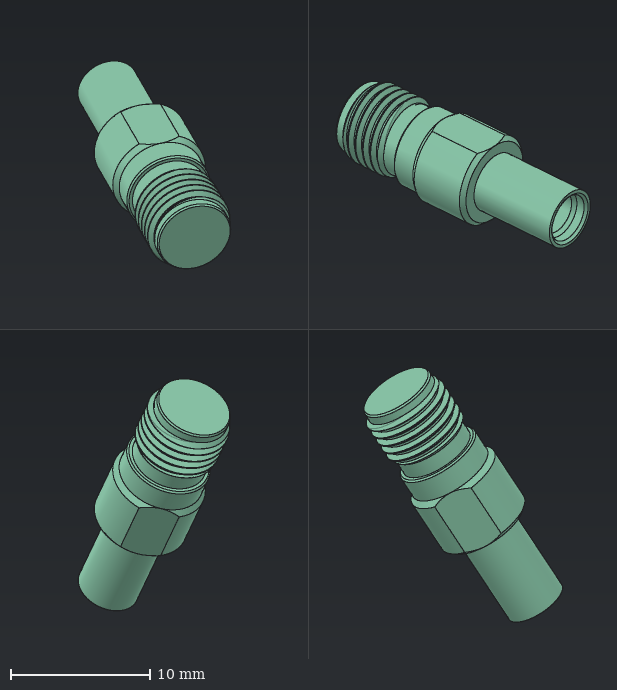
import cadquery as cq
import math


overall_length = 19.81
body_start = 7.12
body_end = 12.14
collar_end = 14.01
thread_start = 15.23
thread_end = 19.09

tube_diameter = 4.57
body_diameter = 7.04
across_flats = 6.35
collar_diameter = 6.34
barrel_diameter = 5.58
body_front_bevel = 0.33
body_rear_bevel = 0.42
collar_chamfer = 0.13
barrel_chamfer_length = 0.15
barrel_chamfer_depth = 0.10

thread_pitch = 25.4 / 36
thread_diameter = 6.34
thread_half_angle = math.radians(30)
crest_width = 0.09
root_overlap = 0.08
first_crest_x = 15.64
lead_in_turns = 2
swept_turns = 8

entry_diameter = 4.02
counterbore_diameter = 3.61
bore_diameter = 3.17
counterbore_depth = 0.88
bore_cone_length = 0.31
bore_depth = body_start

well_diameter = 1.06
well_depth = 1.0
pin_diameter = 0.38


def cylinder(start, end, diameter):
    """Cylinder about the X axis."""
    return cq.Workplane("YZ", origin=(start, 0, 0)).circle(diameter / 2).extrude(end - start)


def revolve_about_x(points):
    """Closed (x, radius) outline turned about the X axis."""
    return cq.Workplane("XY").polyline(points).close().revolve(360, (0, 0, 0), (1, 0, 0))


def make_wrench_body():
    """Bevelled round body with two flats, facing +Z and -Z."""
    end_radius = collar_diameter / 2
    radius = body_diameter / 2
    body = revolve_about_x([
        (body_start, 0),
        (body_start, end_radius),
        (body_start + body_front_bevel, radius),
        (body_end - body_rear_bevel, radius),
        (body_end, end_radius),
        (body_end, 0),
    ])
    flats = cq.Workplane("XY").box(2 * overall_length, body_diameter, across_flats)
    return body.intersect(flats)


def make_barrel():
    """Plain round barrel with a small chamfer at its free end."""
    radius = barrel_diameter / 2
    return revolve_about_x([
        (collar_end, 0),
        (collar_end, radius),
        (overall_length - barrel_chamfer_length, radius),
        (overall_length, radius - barrel_chamfer_depth),
        (overall_length, 0),
    ])


def make_thread():
    """Right-handed thread ridge, bevelled down to the barrel at both ends."""
    barrel_radius = barrel_diameter / 2
    crest_radius = thread_diameter / 2
    root_radius = barrel_radius - root_overlap
    half_crest = crest_width / 2
    half_root = half_crest + (crest_radius - root_radius) * math.tan(thread_half_angle)

    start_x = first_crest_x - lead_in_turns * thread_pitch
    helix = cq.Wire.makeHelix(thread_pitch, swept_turns * thread_pitch, barrel_radius)
    helix = helix.rotate(cq.Vector(0, 0, 0), cq.Vector(0, 1, 0), 90)
    helix = helix.rotate(cq.Vector(0, 0, 0), cq.Vector(1, 0, 0), 180)
    helix = helix.translate(cq.Vector(start_x, 0, 0))
    ridge = (
        cq.Workplane("XZ")
        .polyline([
            (start_x - half_root, root_radius),
            (start_x - half_crest, crest_radius),
            (start_x + half_crest, crest_radius),
            (start_x + half_root, root_radius),
        ])
        .close()
        .sweep(cq.Workplane("XY").newObject([helix]), isFrenet=True)
    )

    bevel = crest_radius - barrel_radius
    envelope = revolve_about_x([
        (thread_start, 0),
        (thread_start, barrel_radius),
        (thread_start + bevel, crest_radius),
        (thread_end - bevel, crest_radius),
        (thread_end, barrel_radius),
        (thread_end, 0),
    ])
    return ridge.intersect(envelope)


def make_cable_bore():
    """Stepped bore with a chamfered mouth and a conical step."""
    entry_radius = entry_diameter / 2
    counterbore_radius = counterbore_diameter / 2
    bore_radius = bore_diameter / 2
    return revolve_about_x([
        (0, 0),
        (0, entry_radius),
        (entry_radius - counterbore_radius, counterbore_radius),
        (counterbore_depth, counterbore_radius),
        (counterbore_depth + bore_cone_length, bore_radius),
        (bore_depth, bore_radius),
        (bore_depth, 0),
    ])


def make_pin():
    """Round-ended contact pin whose tip is level with the bore floor."""
    pin_radius = pin_diameter / 2
    dome_base = bore_depth + pin_radius
    pin = cylinder(dome_base, bore_depth + 2 * well_depth, pin_diameter)
    dome = cq.Workplane("XY").sphere(pin_radius).translate((dome_base, 0, 0))
    return pin.union(dome)


tube = cylinder(0, body_start, tube_diameter)
collar = cylinder(body_end, collar_end, collar_diameter).faces(">X").chamfer(collar_chamfer)
well = cylinder(bore_depth, bore_depth + well_depth, well_diameter)

result = (
    make_barrel()
    .union(make_thread())
    .union(collar)
    .union(make_wrench_body())
    .union(tube)
    .cut(make_cable_bore())
    .cut(well)
    .union(make_pin())
)